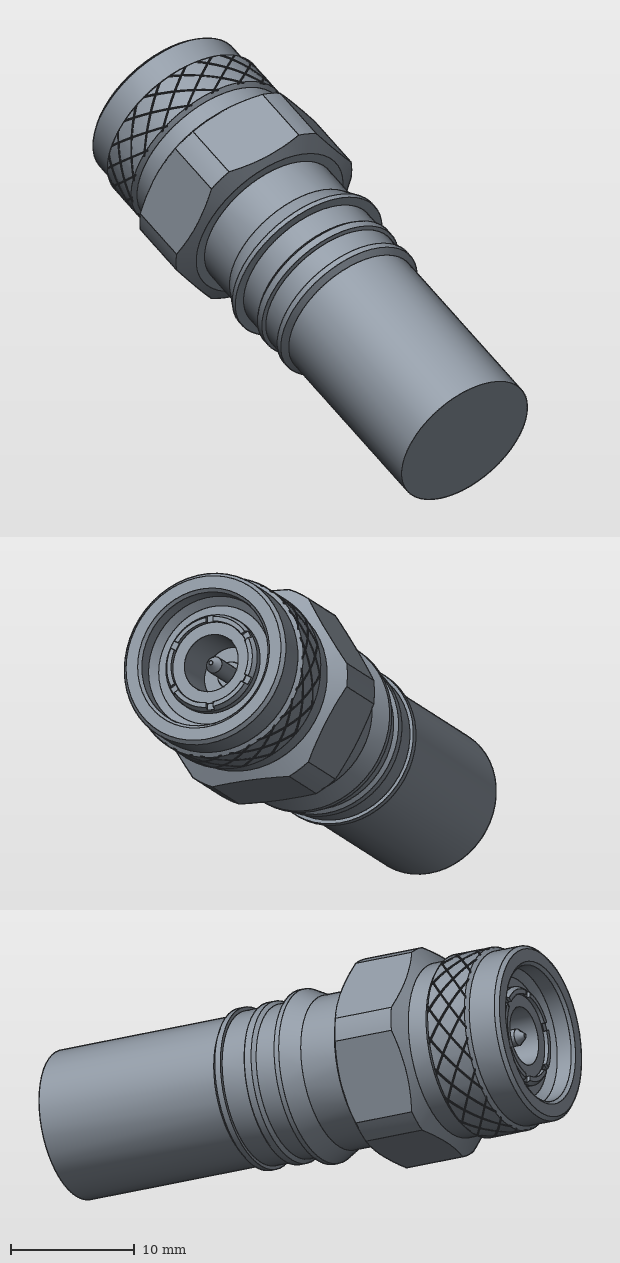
import cadquery as cq
import math


total_length = 42.85
coupling_radius = 7.2
coupling_chamfer = 0.3
body_start = 14.55
body_end = 25.83
body_radius = 6.4
tail_radius = 6.15

knurl_start = 2.6
knurl_end = 6.6
knurl_radius = 7.55
knurl_front_bevel = 0.25
knurl_rear_bevel = 0.35
groove_count = 18
groove_width = 0.1
groove_depth = 0.1
groove_angle = 54.5
groove_crossing_x = 4.33
groove_crossing_angle = 15.0

hex_start = 8.22
hex_end = 15.05
hex_across_flats = 15.8
hex_corner_radius = 8.6
hex_face_radius = 7.2
hex_bevel_angle = 30.0

flare_start = 18.6
flare_rim_start = 20.17
flare_end = 20.6
ring_radius = 6.7
ring_start = 22.7
ring_front_bevel = 0.3
ring_end = 23.75
ring_rear_bevel = 0.13
end_ring_bevel_start = 26.35
end_ring_end = 26.73

mouth_radius = 5.85
mouth_chamfer = 0.25
socket_cone_start = 1.55
socket_floor_x = 2.1
socket_floor_radius = 4.95

sleeve_front_x = 1.15
sleeve_outer_radius = 4.05
sleeve_inner_radius = 3.43
sleeve_tip_radius = 3.8
sleeve_bevel_length = 0.4
slot_count = 6
slot_width = 0.65
slot_depth = 0.25

insulator_recess = 0.35
insulator_bore_radius = 2.4
insulator_bore_depth = 3.85
pin_tip_x = 1.4
pin_tip_radius = 0.15
pin_tip_length = 0.65
pin_radius = 0.7
pin_collar_radius = 1.1
pin_collar_height = 0.2


def revolved(outline):
    """Turn a closed (x, radius) outline around the X axis."""
    return cq.Workplane("XY").polyline(outline).close().revolve(360, (0, 0, 0), (1, 0, 0))


def ring(profile):
    """Solid of revolution whose outer edge follows the (x, radius) profile."""
    return revolved([(profile[0][0], 0)] + profile + [(profile[-1][0], 0)])


def cylinder(start, end, radius):
    return ring([(start, radius), (end, radius)])


def make_barrel():
    coupling = ring([
        (0, coupling_radius - coupling_chamfer),
        (coupling_chamfer, coupling_radius),
        (body_start, coupling_radius),
    ])
    body = cylinder(body_start, body_end, body_radius)
    tail = cylinder(body_end, total_length, tail_radius)
    return coupling.union(body).union(tail)


def groove_cutter(hand):
    """Flat plate through the band wall, tilted left or right (hand +1 or -1) to trace one groove."""
    plate_height = 1.3
    plate_length = 7.7
    plate = cq.Workplane("XY").box(groove_width, plate_height, plate_length)
    plate = plate.translate((0, -knurl_radius, 0))
    plate = plate.rotate((0, 0, 0), (0, 1, 0), hand * (90 - groove_angle))
    plate = plate.rotate((0, 0, 0), (1, 0, 0), -groove_crossing_angle)
    return plate.translate((groove_crossing_x, 0, 0))


def make_knurl():
    """Thin sleeve cut into diamonds by crossing grooves, around a core at the groove floor."""
    floor_cylinder = cylinder(knurl_start, knurl_end, knurl_radius - groove_depth)
    band = ring([
        (knurl_start, coupling_radius),
        (knurl_start + knurl_front_bevel, knurl_radius),
        (knurl_end - knurl_rear_bevel, knurl_radius),
        (knurl_end, coupling_radius),
    ])
    core = band.intersect(floor_cylinder)
    diamonds = band.cut(floor_cylinder).val()
    for hand in (1, -1):
        cutter = groove_cutter(hand)
        cutters = [
            cutter.rotate((0, 0, 0), (1, 0, 0), i * 360 / groove_count).val()
            for i in range(groove_count)
        ]
        diamonds = diamonds.cut(*cutters)
    return core.union(cq.Workplane(diamonds))


def make_hexagon():
    """Hexagon with flats at the top and bottom, rounded and bevelled at the corners."""
    length = hex_end - hex_start
    across_corners = hex_across_flats / math.cos(math.radians(30))
    bevel_length = (hex_corner_radius - hex_face_radius) * math.tan(math.radians(hex_bevel_angle))
    prism = (
        cq.Workplane("YZ", origin=(hex_start, 0, 0))
        .polygon(6, across_corners)
        .extrude(length)
    )
    envelope = ring([
        (hex_start, hex_face_radius),
        (hex_start + bevel_length, hex_corner_radius),
        (hex_end - bevel_length, hex_corner_radius),
        (hex_end, hex_face_radius),
    ])
    return prism.intersect(envelope)


def make_rings():
    flare = ring([
        (flare_start, body_radius),
        (flare_rim_start, coupling_radius),
        (flare_end, coupling_radius),
    ])
    middle_ring = ring([
        (ring_start, body_radius),
        (ring_start + ring_front_bevel, ring_radius),
        (ring_end - ring_rear_bevel, ring_radius),
        (ring_end, body_radius),
    ])
    end_ring = ring([
        (body_end, ring_radius),
        (end_ring_bevel_start, ring_radius),
        (end_ring_end, tail_radius),
    ])
    return flare.union(middle_ring).union(end_ring)


def socket_cutter():
    bore_radius = mouth_radius - mouth_chamfer
    return ring([
        (0, mouth_radius),
        (mouth_chamfer, bore_radius),
        (socket_cone_start, bore_radius),
        (socket_floor_x, socket_floor_radius),
    ])


def make_sleeve():
    """Bevelled sleeve on the socket floor, notched by shallow slots that stop within the bevel."""
    sleeve = revolved([
        (sleeve_front_x, sleeve_inner_radius),
        (sleeve_front_x, sleeve_tip_radius),
        (sleeve_front_x + sleeve_bevel_length, sleeve_outer_radius),
        (socket_floor_x, sleeve_outer_radius),
        (socket_floor_x, sleeve_inner_radius),
    ])
    slot = (
        cq.Workplane("XY")
        .box(slot_depth, slot_width, sleeve_outer_radius, centered=(False, True, False))
        .translate((sleeve_front_x, 0, 0))
    )
    for i in range(slot_count):
        sleeve = sleeve.cut(slot.rotate((0, 0, 0), (1, 0, 0), i * 360 / slot_count))
    return sleeve


def make_insulator_and_pin():
    """Bored insulator, the centre pin standing in it, and the hole below the socket floor that seats it."""
    front_x = sleeve_front_x + insulator_recess
    bore_floor_x = front_x + insulator_bore_depth
    insulator = cylinder(front_x, bore_floor_x, sleeve_inner_radius)
    insulator = insulator.cut(cylinder(front_x, bore_floor_x, insulator_bore_radius))
    pin = ring([
        (pin_tip_x, pin_tip_radius),
        (pin_tip_x + pin_tip_length, pin_radius),
        (bore_floor_x - pin_collar_height, pin_radius),
        (bore_floor_x - pin_collar_height, pin_collar_radius),
        (bore_floor_x, pin_collar_radius),
    ])
    seat = cylinder(socket_floor_x, bore_floor_x, sleeve_inner_radius)
    return insulator, pin, seat


insulator, pin, insulator_seat = make_insulator_and_pin()
result = (
    make_barrel()
    .union(make_knurl())
    .union(make_hexagon())
    .union(make_rings())
    .cut(socket_cutter())
    .cut(insulator_seat)
    .union(make_sleeve())
    .union(insulator)
    .union(pin)
)